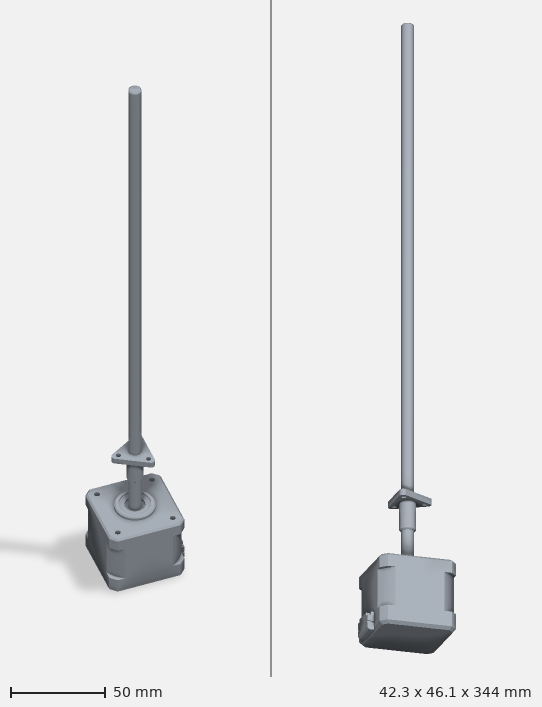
import cadquery as cq

frame_width = 42.3
half_frame = frame_width / 2
rear_cap_bottom = 0.0
rear_cap_top = 10.0
stator_top = 31.5
front_cap_top = 39.2
cap_turned_diameter = 55.0
stator_turned_diameter = 50.2
front_edge_chamfer = 1.0
rear_edge_chamfer = 1.7

coil_count = 8
coil_inner_radius = 12.7
coil_outer_radius = 16.0
coil_width = 5.0
coil_cover = 1.0
coil_top = front_cap_top - coil_cover

hole_spacing = 31.0
mount_hole_diameter = 3.0
mount_hole_depth = 4.5

boss_diameter = 22.0
boss_height = 2.0
boss_top = front_cap_top + boss_height
boss_chamfer = 0.7
recess_diameter = 17.2
recess_depth = 0.7
clearance_bore_diameter = 11.0
clearance_bore_depth = 2.0

screw_diameter = 7.0
screw_top = 344.0
screw_chamfer = 0.7

nut_bottom = 60.2
nut_top = 79.5
flange_thickness = 3.5
flange_bottom = nut_top - flange_thickness
barrel_diameter = 9.0
barrel_chamfer = 0.7
undercut_height = 0.7
undercut_diameter = 8.3
lobe_count = 3
lobe_center_radius = 11.0
lobe_radius = 2.0
flange_hole_circle_radius = 9.3
flange_hole_diameter = 2.8
first_lobe_angle = -90

connector_width = 16.2
connector_reach = 3.8
connector_bottom = rear_cap_bottom
connector_chamfer = 1.0
corner_notch_width = 2.5
corner_notch_length = 2.0
corner_notch_depth = 1.7
side_groove_bottom = 3.8
side_groove_height = 1.0
side_groove_depth = 0.7


def box(size_x, y_start, y_end, bottom, top, center_x=0.0):
    """Block centred on center_x along X, spanning the given Y and Z ranges."""
    block = cq.Workplane("XY").box(size_x, y_end - y_start, top - bottom, centered=(True, False, False))
    return block.translate((center_x, y_start, bottom))


def cylinder(diameter, bottom, top):
    """Round bar on the screw axis."""
    return cq.Workplane("XY").workplane(offset=bottom).circle(diameter / 2).extrude(top - bottom)


def frame_block(turned_diameter, bottom, top):
    """Square block with its four corners turned to a diameter."""
    block = box(frame_width, -half_frame, half_frame, bottom, top)
    return block.intersect(cylinder(turned_diameter, bottom, top))


def coil_heads():
    """Ring of rectangular blocks standing on the stator."""
    heads = cq.Workplane("XY")
    for index in range(coil_count):
        head = box(coil_width, coil_inner_radius, coil_outer_radius, stator_top, coil_top)
        heads = heads.add(head.rotate((0, 0, 0), (0, 0, 1), index * 360 / coil_count))
    return heads.combine()


def mount_holes():
    """Blind holes at the corners of a square."""
    return (
        cq.Workplane("XY")
        .workplane(offset=front_cap_top)
        .rect(hole_spacing, hole_spacing, forConstruction=True)
        .vertices()
        .circle(mount_hole_diameter / 2)
        .extrude(-mount_hole_depth)
    )


def make_rear_cap():
    cap = frame_block(cap_turned_diameter, rear_cap_bottom, rear_cap_top)
    return cap.faces("<Z").chamfer(rear_edge_chamfer)


def make_stator():
    return frame_block(stator_turned_diameter, rear_cap_top, stator_top).union(coil_heads())


def make_front_cap():
    cap = frame_block(cap_turned_diameter, stator_top, front_cap_top).faces(">Z").chamfer(front_edge_chamfer)
    boss = cylinder(boss_diameter, stator_top, boss_top).faces(">Z").chamfer(boss_chamfer)
    cap = cap.union(boss)
    cap = cap.cut(cylinder(recess_diameter, boss_top - recess_depth, boss_top))
    cap = cap.cut(cylinder(clearance_bore_diameter, boss_top - clearance_bore_depth, boss_top))
    cap = cap.cut(cylinder(screw_diameter, stator_top, boss_top))
    return cap.cut(mount_holes()).cut(coil_heads())


def make_screw():
    return cylinder(screw_diameter, stator_top, screw_top).faces(">Z").chamfer(screw_chamfer)


def make_nut():
    triangle_diameter = 2 * (lobe_center_radius + 2 * lobe_radius)
    flange = (
        cq.Workplane("XY")
        .workplane(offset=flange_bottom)
        .transformed(rotate=(0, 0, first_lobe_angle))
        .polygon(lobe_count, triangle_diameter)
        .extrude(flange_thickness)
        .edges("|Z")
        .fillet(lobe_radius)
    )
    flange_holes = (
        cq.Workplane("XY")
        .workplane(offset=flange_bottom)
        .polarArray(flange_hole_circle_radius, first_lobe_angle, 360, lobe_count)
        .circle(flange_hole_diameter / 2)
        .extrude(flange_thickness)
    )
    barrel_top = flange_bottom - undercut_height
    barrel = cylinder(barrel_diameter, nut_bottom, barrel_top).faces("<Z").chamfer(barrel_chamfer)
    neck = cylinder(undercut_diameter, barrel_top, flange_bottom)
    screw_bore = cylinder(screw_diameter, nut_bottom, nut_top)
    return flange.union(neck).union(barrel).cut(flange_holes).cut(screw_bore)


def make_connector():
    back = half_frame + connector_reach
    shell = box(connector_width, half_frame, back, connector_bottom, rear_cap_top)
    shell = shell.faces("<Z").edges(">Y").chamfer(connector_chamfer)
    for side in (-1, 1):
        side_x = side * connector_width / 2
        notch_bottom = rear_cap_top - corner_notch_depth
        notch = box(2 * corner_notch_width, back - corner_notch_length, back, notch_bottom, rear_cap_top, side_x)
        groove_top = side_groove_bottom + side_groove_height
        groove = box(2 * side_groove_depth, half_frame, back, side_groove_bottom, groove_top, side_x)
        shell = shell.cut(notch).cut(groove)
    return shell


rear_cap = make_rear_cap()
stator = make_stator()
front_cap = make_front_cap()
screw = make_screw()
nut = make_nut()
connector = make_connector()

result = cq.Compound.makeCompound(
    [rear_cap.val(), stator.val(), front_cap.val(), screw.val(), nut.val(), connector.val()]
)